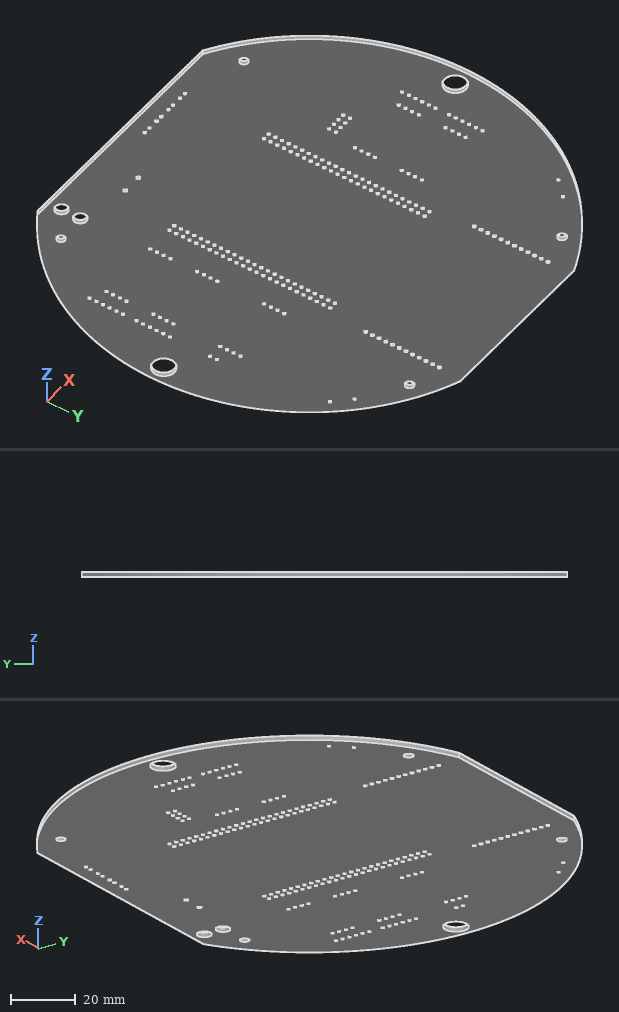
import cadquery as cq
import math

THICKNESS = 1.59
BOARD_RADIUS = 84.5
BOARD_DEPTH = 150.57
FLAT_TOP_Y = 78.74
FLAT_BOTTOM_Y = FLAT_TOP_Y - BOARD_DEPTH
FACETS_PER_SIDE = 63

PITCH = 2.54

POWER_PIN = 1.0
HEADER_PIN = 0.85
SOCKET_PIN = 0.8
TERMINAL_PIN = 1.3

POWER_COLUMN_X = 11.5 * PITCH
POWER_TOP_ROW = 27.5
POWER_COUNT = 12
HEADER_COLUMN_XS = (9.5 * PITCH, 10.5 * PITCH)
HEADER_TOP_ROW = 10.5
HEADER_COUNT = 25

MODULE_COLUMN_XS = (37.0, 60.6)
MODULE_PIN_COUNT = 4
LEFT_MODULE_TOP_ROWS = (6.5, -3.5, -10.5)
RIGHT_MODULE_TOP_ROWS = (6.5, -0.5)

EDGE_COLUMN_X = 26 * PITCH
LEFT_EDGE_COLUMNS = ((4.5, 2), (-2.5, 6), (-9.5, 6))
RIGHT_EDGE_COLUMNS = ((7.5, 6), (0.5, 6))

BLOCK_FIRST_COLUMN = 15.5
BLOCK_ROWS = (-7, -8)
BLOCK_PIN_COUNT = 4

LOWER_ROW = -26
SIGNAL_PAIR_COLUMNS = (2, 7, 9.5)
POWER_PAIR_COLUMN = 4.5
PAIR_PIN_COUNT = 2

SENSOR_PINS = [(61.45, 51.05), (56.05, 56.65)]
TERMINAL_Y = -55.9
TERMINAL_PINS = [(-19.8, TERMINAL_Y), (-12.8, TERMINAL_Y)]

SIDE_HOLE = (78.4, 0)
SIDE_HOLE_DIAMETER = 8.0
UPPER_MOUNT = (41.0, 66.85)
UPPER_MOUNT_DIAMETER = 3.1
LOWER_MOUNT = (49.2, -59.55)
LOWER_MOUNT_DIAMETER = 3.0
CABLE_HOLE_X = -38.2
CABLE_HOLES = [(CABLE_HOLE_X, -60.0), (CABLE_HOLE_X, -67.1)]
CABLE_HOLE_DIAMETER = 4.6


def mirrored(points):
    """The points together with their mirror images across the Y axis."""
    return points + [(-x, y) for x, y in points]


def pin_column(x, top_row, count):
    """Pins running down from a row."""
    return [(x, (top_row - i) * PITCH) for i in range(count)]


def pin_row(first_column, row, count):
    """Pins running along +X from a column."""
    return [((first_column + i) * PITCH, row * PITCH) for i in range(count)]


def header_pins():
    pins = []
    for x in HEADER_COLUMN_XS:
        pins += mirrored(pin_column(x, HEADER_TOP_ROW, HEADER_COUNT))
    return pins


def module_pins(side, top_rows):
    """Pins of the modules on one side: -1 is left, 1 is right."""
    pins = []
    for top_row in top_rows:
        for x in MODULE_COLUMN_XS:
            pins += pin_column(side * x, top_row, MODULE_PIN_COUNT)
    return pins


def edge_pins(side, columns):
    """Pins near the rim on one side: -1 is left, 1 is right."""
    pins = []
    for top_row, count in columns:
        pins += pin_column(side * EDGE_COLUMN_X, top_row, count)
    return pins


def block_pins():
    pins = []
    for row in BLOCK_ROWS:
        pins += pin_row(BLOCK_FIRST_COLUMN, row, BLOCK_PIN_COUNT)
    return pins


def signal_pair_pins():
    pins = []
    for column in SIGNAL_PAIR_COLUMNS:
        pins += pin_row(column, LOWER_ROW, PAIR_PIN_COUNT)
    return pins


def rim_point(angle):
    return (BOARD_RADIUS * math.cos(angle), BOARD_RADIUS * math.sin(angle))


def board():
    """Plate whose right and left sides are mirrored chains of facets on one circle."""
    start = math.asin(FLAT_BOTTOM_Y / BOARD_RADIUS)
    end = math.asin(FLAT_TOP_Y / BOARD_RADIUS)
    step = (end - start) / FACETS_PER_SIDE
    right_side = [rim_point(start + i * step) for i in range(FACETS_PER_SIDE + 1)]
    left_side = [(-x, y) for x, y in reversed(right_side)]
    return cq.Workplane("XY").polyline(right_side + left_side).close().extrude(THICKNESS)


def drill(body, points, diameter):
    """Cut a through hole at every point."""
    drills = cq.Workplane("XY").pushPoints(points).circle(diameter / 2).extrude(THICKNESS)
    return body.cut(drills)


power_pins = mirrored(pin_column(POWER_COLUMN_X, POWER_TOP_ROW, POWER_COUNT))
power_pins += pin_row(POWER_PAIR_COLUMN, LOWER_ROW, PAIR_PIN_COUNT)

socket_pins = module_pins(-1, LEFT_MODULE_TOP_ROWS) + module_pins(1, RIGHT_MODULE_TOP_ROWS)
socket_pins += edge_pins(-1, LEFT_EDGE_COLUMNS) + edge_pins(1, RIGHT_EDGE_COLUMNS)
socket_pins += block_pins() + signal_pair_pins() + mirrored(SENSOR_PINS)

result = board()
result = drill(result, power_pins, POWER_PIN)
result = drill(result, header_pins(), HEADER_PIN)
result = drill(result, socket_pins, SOCKET_PIN)
result = drill(result, TERMINAL_PINS, TERMINAL_PIN)
result = drill(result, mirrored([SIDE_HOLE]), SIDE_HOLE_DIAMETER)
result = drill(result, mirrored([UPPER_MOUNT]), UPPER_MOUNT_DIAMETER)
result = drill(result, mirrored([LOWER_MOUNT]), LOWER_MOUNT_DIAMETER)
result = drill(result, CABLE_HOLES, CABLE_HOLE_DIAMETER)